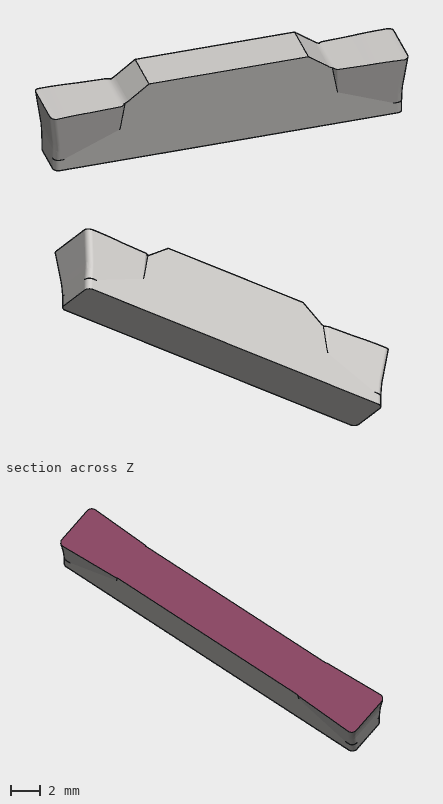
import cadquery as cq
import math

LENGTH = 25.34
HEIGHT = 5.79
BODY_WIDTH = 3.18
HEAD_WIDTH = 4.0
HALF_LENGTH = LENGTH / 2

EDGE_Z = 4.53
FLOOR_Z = 4.49
LAND_LENGTH = 0.4
LAND_SAG = 0.01
DOME_END = 2.98
DOME_RISE = 0.025
RAMP_START = 5.3
RAMP_END = 7.03
RAMP_BLEND_RADIUS = 1.0

RELIEF_ANGLE = math.radians(7)
RELIEF_END_Z = 2.12
RELIEF_BLEND_RADIUS = 4.0
NOSE_RADIUS = 0.4

SIDE_CLEARANCE = math.radians(6)
BACK_TAPER = math.radians(2.5)
HEAD_BOTTOM_Z = 0.85
SHOULDER_DISTANCE = 5.05
SHOULDER_ANGLE = math.radians(37)
SHOULDER_RADIUS = 0.2
HEAD_ROOT_HALF_WIDTH = 1.0

TRIM = 1.0

relief_depth = (EDGE_Z - RELIEF_END_Z) * math.tan(RELIEF_ANGLE)
blend_height = RELIEF_BLEND_RADIUS * math.sin(RELIEF_ANGLE)
blend_depth = RELIEF_BLEND_RADIUS * (1 - math.cos(RELIEF_ANGLE))
body_end_distance = relief_depth + blend_depth


def end_y(distance):
    """Y position at the given distance inward from the -Y cutting edge."""
    return distance - HALF_LENGTH


def make_body():
    body_length = LENGTH - 2 * body_end_distance
    body = cq.Workplane("XY").box(BODY_WIDTH, body_length, HEIGHT, centered=(True, True, False))
    return body.edges("|Z").fillet(NOSE_RADIUS)


def make_relief_envelope():
    """Side outline of the head front: relief face, concave blend, upright end."""
    mid_angle = RELIEF_ANGLE / 2
    blend_mid = (
        end_y(body_end_distance - RELIEF_BLEND_RADIUS * (1 - math.cos(mid_angle))),
        RELIEF_END_Z - blend_height + RELIEF_BLEND_RADIUS * math.sin(mid_angle),
    )
    blend_bottom = (end_y(body_end_distance), RELIEF_END_Z - blend_height)
    return (
        cq.Workplane("YZ")
        .moveTo(end_y(0), EDGE_Z)
        .lineTo(end_y(relief_depth), RELIEF_END_Z)
        .threePointArc(blend_mid, blend_bottom)
        .lineTo(end_y(body_end_distance), 0)
        .lineTo(end_y(RAMP_END), 0)
        .lineTo(end_y(RAMP_END), EDGE_Z)
        .close()
        .extrude(HEAD_WIDTH, both=True)
    )


def make_head():
    """Head at the -Y end, narrowing downward and towards its angled rear shoulders."""
    widest_half_width = HEAD_WIDTH / 2 + (EDGE_Z - FLOOR_Z) * math.tan(SIDE_CLEARANCE)

    def half_width(distance):
        return widest_half_width - (distance - LAND_LENGTH) * math.tan(BACK_TAPER)

    shoulder_half_width = half_width(SHOULDER_DISTANCE)
    shoulder_length = (shoulder_half_width - HEAD_ROOT_HALF_WIDTH) / math.tan(SHOULDER_ANGLE)
    right_side = [
        (half_width(-TRIM), end_y(-TRIM)),
        (shoulder_half_width, end_y(SHOULDER_DISTANCE)),
        (HEAD_ROOT_HALF_WIDTH, end_y(SHOULDER_DISTANCE + shoulder_length)),
    ]
    left_side = [(-x, y) for x, y in reversed(right_side)]
    head = (
        cq.Workplane("XY", origin=(0, 0, EDGE_Z))
        .polyline(right_side + left_side)
        .close()
        .extrude(HEAD_BOTTOM_Z - EDGE_Z, taper=math.degrees(SIDE_CLEARANCE))
    )
    shoulder_box = cq.selectors.BoxSelector(
        (-HEAD_WIDTH, end_y(SHOULDER_DISTANCE - NOSE_RADIUS), HEAD_BOTTOM_Z),
        (HEAD_WIDTH, end_y(SHOULDER_DISTANCE + SHOULDER_RADIUS), EDGE_Z),
    )
    upright_edges = cq.selectors.StringSyntaxSelector("not(#Z)")
    head = head.edges(shoulder_box).edges(upright_edges).fillet(SHOULDER_RADIUS)
    head = head.intersect(make_relief_envelope())
    nose_box = cq.selectors.BoxSelector(
        (-HEAD_WIDTH, end_y(-TRIM), HEAD_BOTTOM_Z),
        (HEAD_WIDTH, end_y(NOSE_RADIUS), EDGE_Z),
    )
    return head.edges(nose_box).edges(upright_edges).fillet(NOSE_RADIUS)


def make_top_envelope():
    """Everything below the top profile: land, chip-breaker dome, floor, ramp and crown."""
    ramp_angle = math.atan2(HEIGHT - FLOOR_Z, RAMP_END - RAMP_START)
    tangent_length = RAMP_BLEND_RADIUS * math.tan(ramp_angle / 2)
    blend_start = RAMP_START - tangent_length
    blend_end = (
        end_y(RAMP_START + tangent_length * math.cos(ramp_angle)),
        FLOOR_Z + tangent_length * math.sin(ramp_angle),
    )
    blend_mid = (
        end_y(blend_start + RAMP_BLEND_RADIUS * math.sin(ramp_angle / 2)),
        FLOOR_Z + RAMP_BLEND_RADIUS * (1 - math.cos(ramp_angle / 2)),
    )
    land_mid = (end_y(LAND_LENGTH / 2), (EDGE_Z + FLOOR_Z) / 2 - LAND_SAG)
    dome_mid = (end_y((LAND_LENGTH + DOME_END) / 2), FLOOR_Z + DOME_RISE)
    half = (
        cq.Workplane("YZ")
        .moveTo(0, 0)
        .lineTo(end_y(0), 0)
        .lineTo(end_y(0), EDGE_Z)
        .threePointArc(land_mid, (end_y(LAND_LENGTH), FLOOR_Z))
        .threePointArc(dome_mid, (end_y(DOME_END), FLOOR_Z))
        .lineTo(end_y(blend_start), FLOOR_Z)
        .threePointArc(blend_mid, blend_end)
        .lineTo(end_y(RAMP_END), HEIGHT)
        .lineTo(0, HEIGHT)
        .close()
        .extrude(HEAD_WIDTH, both=True)
    )
    return half.union(half.mirror("XZ"))


head = make_head()
blank = make_body().union(head).union(head.mirror("XZ"))
result = blank.intersect(make_top_envelope())